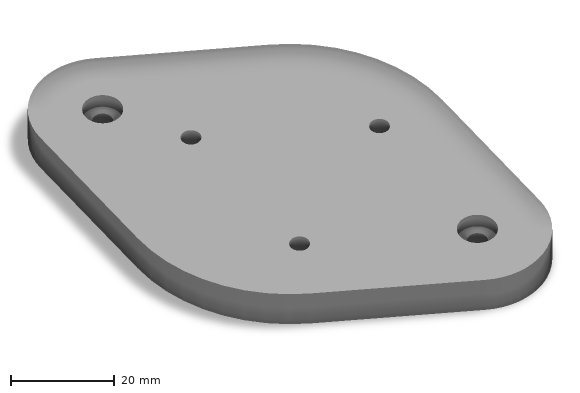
import cadquery as cq
import math

length = 109.0
width = 70.7
thickness = 8.0
mount_spacing = 80.0

hole_diameter = 4.0
counterbore_diameter = 8.0
counterbore_depth = 3.0
pattern_radius = 21.1
pattern_count = 3

centre_radius = width / 2
mount_x = mount_spacing / 2
end_radius = length / 2 - mount_x

side_tilt = math.asin((centre_radius - end_radius) / mount_x)
centre_tangent_x = centre_radius * math.sin(side_tilt)
centre_tangent_y = centre_radius * math.cos(side_tilt)
end_tangent_x = mount_x + end_radius * math.sin(side_tilt)
end_tangent_y = end_radius * math.cos(side_tilt)


def make_plate():
    return (
        cq.Workplane("XY")
        .moveTo(-centre_tangent_x, centre_tangent_y)
        .threePointArc((0, centre_radius), (centre_tangent_x, centre_tangent_y))
        .lineTo(end_tangent_x, end_tangent_y)
        .threePointArc((length / 2, 0), (end_tangent_x, -end_tangent_y))
        .lineTo(centre_tangent_x, -centre_tangent_y)
        .threePointArc((0, -centre_radius), (-centre_tangent_x, -centre_tangent_y))
        .lineTo(-end_tangent_x, -end_tangent_y)
        .threePointArc((-length / 2, 0), (-end_tangent_x, end_tangent_y))
        .close()
        .extrude(thickness)
    )


def cut_mount_holes(plate):
    return (
        plate.faces(">Z")
        .workplane(origin=(0, 0, thickness))
        .pushPoints([(-mount_x, 0), (mount_x, 0)])
        .cboreHole(hole_diameter, counterbore_diameter, counterbore_depth)
    )


def cut_pattern_holes(plate):
    return (
        plate.faces(">Z")
        .workplane(origin=(0, 0, thickness))
        .polarArray(pattern_radius, 180, 360, pattern_count)
        .hole(hole_diameter)
    )


result = cut_pattern_holes(cut_mount_holes(make_plate()))